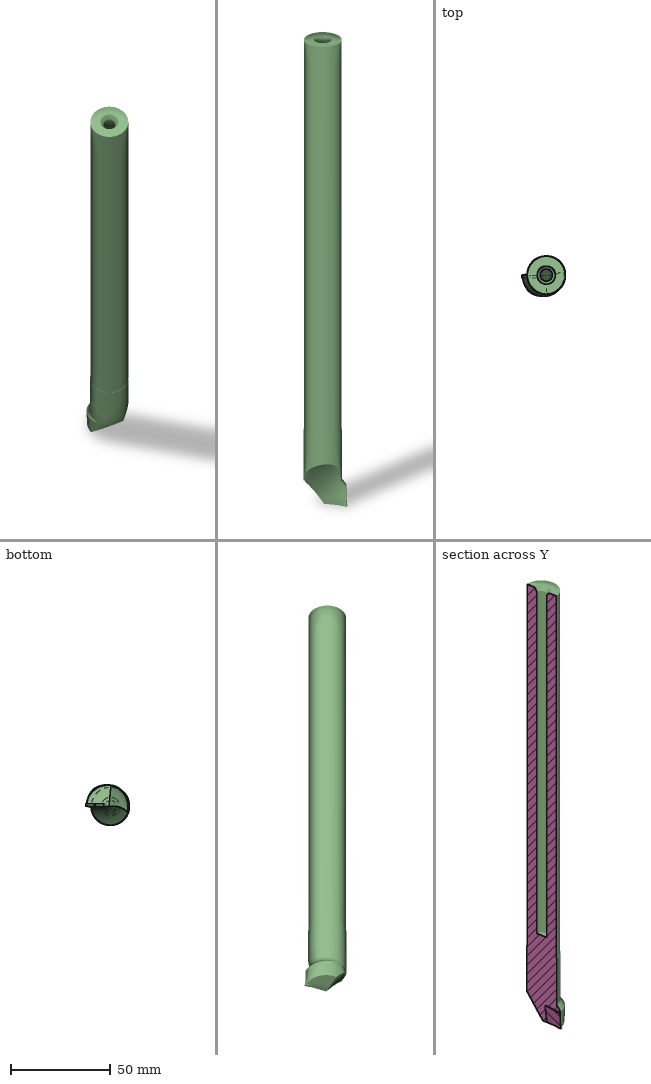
import cadquery as cq
import math

TOP_Z = 255.2
SHANK_RADIUS = 9.57
COLLAR_TOP_Z = 41.0

COLLAR_RADIUS = 9.7
HEAD_TOP_Z = 13.5

HEAD_CONE_ANGLE = 37.0
HEAD_OUTER_RADIUS = 12.0
HEAD_BODY_RADIUS = 11.0
HEAD_BODY_BOTTOM_X = -1.0
HEAD_BODY_TOP_X = -2.0
HEAD_BODY_Y = 0.3
HEAD_BOTTOM_Z = 0.5
END_RELIEF_ANGLE = 7.0

SIDE_CUT_TOP = (COLLAR_RADIUS, 14.3)
SIDE_CUT_BOTTOM_X = -1.0

RAMP_Z_ON_AXIS = 18.0
RAMP_RISE_PER_Y = 0.75
RAMP_DROP_PER_X = 0.4
RAMP_FOOT_RADIUS = 25.5

BORE_DIAMETER = 6.0
BORE_MOUTH_DIAMETER = 9.2
BORE_MOUTH_DEPTH = 2.3
BORE_DEPTH = 204.2

TIP_X = -12.5
TIP_Z = 0.0
INSERT_EDGE = 9.2
INSERT_THICKNESS = 1.3
APPROACH_ANGLE = 7.0

CUTTER_SIZE = 51.0


def make_round(radius, bottom_z, top_z):
    """Upright cylinder on the shank axis."""
    return cq.Workplane("XY").workplane(offset=bottom_z).circle(radius).extrude(top_z - bottom_z)


def make_blank():
    """Shank, collar and head before any cutting."""
    shank = make_round(SHANK_RADIUS, COLLAR_TOP_Z, TOP_Z)
    collar = make_round(COLLAR_RADIUS, HEAD_TOP_Z, COLLAR_TOP_Z)
    return shank.union(collar).union(make_head_blank())


def make_head_blank():
    """Region shared by the coned upright cylinder and the leaning cylinder."""
    cone_drop = (HEAD_OUTER_RADIUS - COLLAR_RADIUS) / math.tan(math.radians(HEAD_CONE_ANGLE))
    outer = cq.Workplane("XZ").polyline([
        (0, 0),
        (HEAD_OUTER_RADIUS, 0),
        (HEAD_OUTER_RADIUS, HEAD_TOP_Z - cone_drop),
        (COLLAR_RADIUS, HEAD_TOP_Z),
        (0, HEAD_TOP_Z),
    ]).close().revolve(360, (0, 0), (0, 1))
    bottom_centre = cq.Vector(HEAD_BODY_BOTTOM_X, HEAD_BODY_Y, 0)
    bottom = cq.Wire.makeCircle(HEAD_BODY_RADIUS, bottom_centre, cq.Vector(0, 0, 1))
    lean = cq.Vector(HEAD_BODY_TOP_X - HEAD_BODY_BOTTOM_X, 0, HEAD_TOP_Z)
    leaning_body = cq.Solid.extrudeLinear(bottom, [], lean)
    return outer.intersect(cq.Workplane(leaning_body))


def make_gullet():
    """Space on the +Y side of the centre plane, closed above by the skewed ramp."""
    reach = CUTTER_SIZE / 2

    def ramp_point(x, y):
        return cq.Vector(x, y, RAMP_Z_ON_AXIS + RAMP_RISE_PER_Y * y - RAMP_DROP_PER_X * x)

    corners = [(-reach, 0), (reach, 0), (reach, reach), (-reach, reach)]
    outline = cq.Wire.makePolygon([ramp_point(x, y) for x, y in corners], close=True)
    ramp = cq.Face.makeFromWires(outline)
    gullet = cq.Workplane(cq.Solid.extrudeLinear(ramp, cq.Vector(0, 0, -CUTTER_SIZE)))
    foot_edge = cq.selectors.NearestToPointSelector((0, 0, RAMP_Z_ON_AXIS))
    return gullet.edges(foot_edge).fillet(RAMP_FOOT_RADIUS)


def make_side_cut():
    """Wedge below the slanted plane on the +X side."""
    top_x, top_z = SIDE_CUT_TOP
    slope = (top_x - SIDE_CUT_BOTTOM_X) / top_z
    reach = CUTTER_SIZE / 2
    return cq.Workplane("XZ").polyline([
        (top_x + slope * reach, top_z + reach),
        (SIDE_CUT_BOTTOM_X - slope * reach, -reach),
        (CUTTER_SIZE, -reach),
        (CUTTER_SIZE, top_z + reach),
    ]).close().extrude(reach, both=True)


def make_end_relief():
    """Space below the end face, which rises away from the cutting edge."""
    rise = CUTTER_SIZE * math.tan(math.radians(END_RELIEF_ANGLE))
    return cq.Workplane("YZ").polyline([
        (CUTTER_SIZE, HEAD_BOTTOM_Z - rise),
        (-CUTTER_SIZE, HEAD_BOTTOM_Z + rise),
        (-CUTTER_SIZE, -CUTTER_SIZE),
        (CUTTER_SIZE, -CUTTER_SIZE),
    ]).close().extrude(CUTTER_SIZE, both=True)


def make_bore():
    """Blind coolant bore with its conical mouth in the top end."""
    bore_radius = BORE_DIAMETER / 2
    return cq.Workplane("XZ").polyline([
        (0, TOP_Z),
        (BORE_MOUTH_DIAMETER / 2, TOP_Z),
        (bore_radius, TOP_Z - BORE_MOUTH_DEPTH),
        (bore_radius, TOP_Z - BORE_DEPTH),
        (0, TOP_Z - BORE_DEPTH),
    ]).close().revolve(360, (0, 0), (0, 1))


def make_insert():
    """Rhombic plate with its top face on the centre plane and its thickness towards -Y."""
    lean = math.radians(APPROACH_ANGLE)
    long_step = INSERT_EDGE * math.cos(lean)
    short_step = INSERT_EDGE * math.sin(lean)
    return cq.Workplane("XZ").polyline([
        (TIP_X, TIP_Z),
        (TIP_X + long_step, TIP_Z + short_step),
        (TIP_X + long_step + short_step, TIP_Z + short_step + long_step),
        (TIP_X + short_step, TIP_Z + long_step),
    ]).close().extrude(INSERT_THICKNESS)


insert = make_insert()
bar = make_blank().cut(make_gullet()).cut(make_side_cut()).cut(make_end_relief()).cut(make_bore())
bar = bar.cut(insert)

result = cq.Compound.makeCompound([bar.val(), insert.val()])